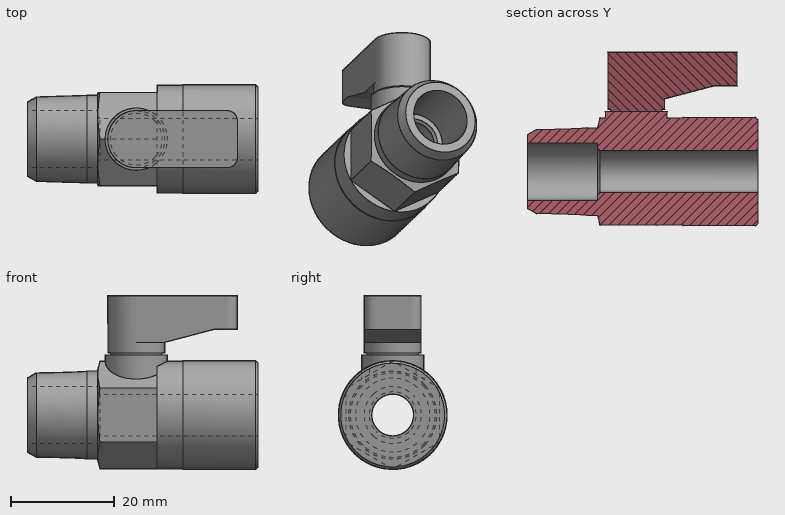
import cadquery as cq
import math


male_end_x = -21.0
female_end_x = 23.5
thread_lead_length = 1.75
neck_start_x = -9.5
hex_start_x = -7.5
hex_end_x = 4.0
female_step_x = 9.0

hex_across_flats = 18.0
hex_across_corners = hex_across_flats / math.cos(math.radians(30))
neck_diameter = 17.0
male_tip_diameter = 14.3
thread_small_diameter = 16.3
thread_large_diameter = 16.9
shoulder_diameter = 20.8
female_diameter = 21.0
female_chamfer = 0.5
hex_chamfer_length = 0.5

bore_diameter = 8.0
inlet_diameter = 11.0
inlet_end_x = hex_start_x
bore_chamfer = 0.5

collar_diameter = 12.0
collar_top_z = 11.6

stem_diameter = 10.0
hub_diameter = 11.0
hub_radius = hub_diameter / 2
hub_bottom_z = 12.0
handle_top_z = 23.0
lever_root_z = 14.0
lever_tip_z = 16.5
lever_slope_end_x = 15.0
lever_end_x = 19.5
lever_corner_radius = 2.0


def cylinder_x(diameter, start_x, end_x):
    """Cylinder about the flow axis between two X positions."""
    return cq.Workplane("YZ", origin=(start_x, 0, 0)).circle(diameter / 2).extrude(end_x - start_x)


def cone_x(start_diameter, end_diameter, start_x, end_x):
    """Truncated cone about the flow axis between two X positions."""
    profile = [
        (start_x, 0),
        (start_x, start_diameter / 2),
        (end_x, end_diameter / 2),
        (end_x, 0),
    ]
    return cq.Workplane("XY").polyline(profile).close().revolve(360, (0, 0, 0), (1, 0, 0))


def make_male_end():
    """Tapered male thread envelope with a conical lead-in and a plain neck."""
    lead_end_x = male_end_x + thread_lead_length
    lead = cone_x(male_tip_diameter, thread_small_diameter, male_end_x, lead_end_x)
    taper = cone_x(thread_small_diameter, thread_large_diameter, lead_end_x, neck_start_x)
    neck = cylinder_x(neck_diameter, neck_start_x, hex_start_x)
    return lead.union(taper).union(neck)


def make_hex():
    """Wrench hexagon with corners up and down, chamfered towards the male end."""
    prism = (
        cq.Workplane("YZ", origin=(hex_start_x, 0, 0))
        .polygon(6, hex_across_corners)
        .extrude(hex_end_x - hex_start_x)
        .rotate((0, 0, 0), (1, 0, 0), 90)
    )
    chamfer_end_x = hex_start_x + hex_chamfer_length
    envelope = cone_x(neck_diameter, hex_across_corners, hex_start_x, chamfer_end_x).union(
        cylinder_x(hex_across_corners, chamfer_end_x, hex_end_x)
    )
    return prism.intersect(envelope)


def make_female_end():
    """Round socket end: a slightly smaller shoulder, then a chamfered barrel."""
    shoulder = cylinder_x(shoulder_diameter, hex_end_x, female_step_x)
    barrel = cylinder_x(female_diameter, female_step_x, female_end_x)
    barrel = barrel.faces(">X").chamfer(female_chamfer)
    return shoulder.union(barrel)


def make_passage():
    """Through bore with a wider inlet and a chamfer where the two meet."""
    bore = cylinder_x(bore_diameter, male_end_x, female_end_x)
    inlet = cylinder_x(inlet_diameter, male_end_x, inlet_end_x)
    chamfer = cone_x(
        bore_diameter + 2 * bore_chamfer, bore_diameter, inlet_end_x, inlet_end_x + bore_chamfer
    )
    return bore.union(inlet).union(chamfer)


def make_body():
    """Valve body with the stem collar standing on its hexagon."""
    collar = cq.Workplane("XY").circle(collar_diameter / 2).extrude(collar_top_z)
    solid = make_male_end().union(make_hex()).union(make_female_end()).union(collar)
    return solid.cut(make_passage())


def make_handle():
    """Handle: short stem on the collar, round hub and a lever towards +X."""
    stem = (
        cq.Workplane("XY", origin=(0, 0, collar_top_z))
        .circle(stem_diameter / 2)
        .extrude(hub_bottom_z - collar_top_z)
    )
    hub = (
        cq.Workplane("XY", origin=(0, 0, hub_bottom_z))
        .circle(hub_radius)
        .extrude(handle_top_z - hub_bottom_z)
    )
    lever = (
        cq.Workplane("XZ")
        .moveTo(0, handle_top_z)
        .lineTo(0, lever_root_z)
        .lineTo(hub_radius, lever_root_z)
        .lineTo(lever_slope_end_x, lever_tip_z)
        .lineTo(lever_end_x, lever_tip_z)
        .lineTo(lever_end_x, handle_top_z)
        .close()
        .extrude(hub_radius, both=True)
    )
    lever = lever.edges("|Z and >X").fillet(lever_corner_radius)
    return stem.union(hub).union(lever)


body = make_body()
handle = make_handle()

result = cq.Compound.makeCompound([body.val(), handle.val()])